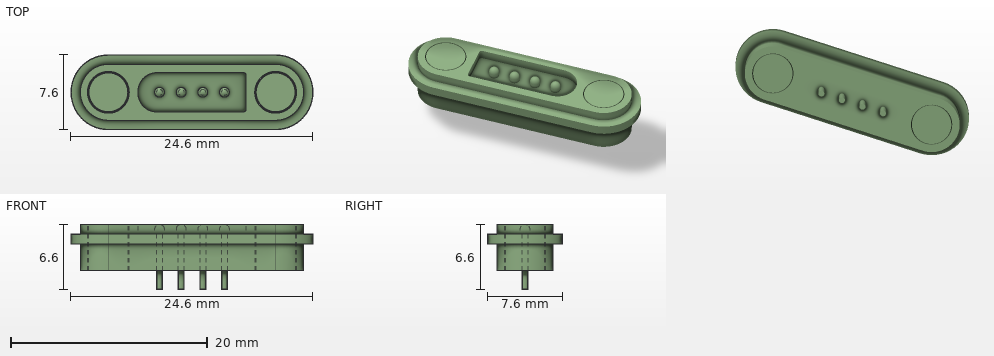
import cadquery as cq

end_spacing = 17.0
block_width = 5.7
block_height = 4.7
flange_width = 7.6
flange_thickness = 1.0
flange_top_drop = 1.0
flange_bottom = block_height - flange_top_drop - flange_thickness

recess_length = 11.0
recess_width = 4.0
recess_depth = 1.0
recess_round_radius = 1.95
recess_corner_radius = 0.3
recess_floor = block_height - recess_depth

magnet_diameter = 4.0
magnet_hole_diameter = 4.2
magnet_height = block_height
magnet_points = [(-end_spacing / 2, 0), (end_spacing / 2, 0)]

pin_count = 4
pin_pitch = 2.2
head_diameter = 1.0
head_radius = head_diameter / 2
head_height = 1.0
tail_diameter = 0.6
tail_length = 1.9
pin_points = [((i - (pin_count - 1) / 2) * pin_pitch, 0) for i in range(pin_count)]


def stadium(width, bottom, height):
    """Block with full-round ends about the two end centres."""
    return (
        cq.Workplane("XY", origin=(0, 0, bottom))
        .slot2D(end_spacing + width, width)
        .extrude(height)
    )


def make_recess():
    """Volume of the contact recess."""
    block = (
        cq.Workplane("XY", origin=(0, 0, recess_floor))
        .rect(recess_length, recess_width)
        .extrude(recess_depth)
    )
    rounded = block.edges("|Z and <X").fillet(recess_round_radius)
    return rounded.edges("|Z and >X").fillet(recess_corner_radius)


def make_housing():
    """Flanged block with its recess, magnet holes and pin holes."""
    block = stadium(block_width, 0, block_height)
    flange = stadium(flange_width, flange_bottom, flange_thickness)
    magnet_holes = (
        cq.Workplane("XY")
        .pushPoints(magnet_points)
        .circle(magnet_hole_diameter / 2)
        .extrude(block_height)
    )
    pin_holes = (
        cq.Workplane("XY")
        .pushPoints(pin_points)
        .circle(tail_diameter / 2)
        .extrude(recess_floor)
    )
    return block.union(flange).cut(make_recess()).cut(magnet_holes).cut(pin_holes)


def make_magnet(point):
    """Plain disc magnet, flush with the top of the housing."""
    x, y = point
    return (
        cq.Workplane("XY", origin=(x, y, block_height - magnet_height))
        .circle(magnet_diameter / 2)
        .extrude(magnet_height)
    )


def make_pin(point):
    """Contact pin, turned from its half profile about a vertical axis."""
    x, y = point
    tail_radius = tail_diameter / 2
    head_top = recess_floor + head_height
    dome_base = head_top - head_radius
    return (
        cq.Workplane("XZ", origin=(x, y, 0))
        .moveTo(0, -tail_length)
        .lineTo(tail_radius, -tail_length)
        .lineTo(tail_radius, recess_floor)
        .lineTo(head_radius, recess_floor)
        .lineTo(head_radius, dome_base)
        .radiusArc((0, head_top), -head_radius)
        .close()
        .revolve(360, (0, 0, 0), (0, 1, 0))
    )


housing = make_housing()
magnets = [make_magnet(point) for point in magnet_points]
pins = [make_pin(point) for point in pin_points]

result = cq.Compound.makeCompound([housing.val(), *[body.val() for body in magnets + pins]])